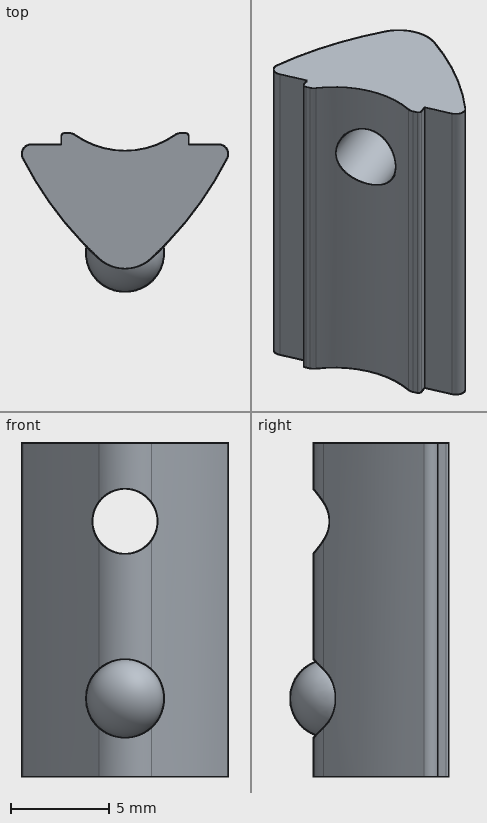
import cadquery as cq
import math

length = 17.0
ridge_height = 0.58
ridge_half_width = 3.25
ridge_corner_radius = 0.17
channel_bottom_y = -0.32
channel_radius = 4.42
channel_lip_radius = 0.51

tip_radius = 0.5
tip_center_x = 4.76
tip_end_angle = math.radians(-27)
nose_y = -6.32
nose_radius = 1.99
nose_half_width = 1.33

hole_diameter = 3.3
hole_z = 13.0
ball_diameter = 4.0
ball_z = 4.0
ball_front_y = -7.51
ball_radius = ball_diameter / 2
ball_center_y = ball_front_y + ball_radius


def point_on_circle(center, radius, angle):
    return (center[0] + radius * math.cos(angle), center[1] + radius * math.sin(angle))


def mirrored(point):
    return (-point[0], point[1])


def make_profile():
    """Closed, symmetric outline: curved flanks, rounded nose and tips."""
    tip_center = (tip_center_x, -tip_radius)
    tip_start = (tip_center_x, 0)
    tip_mid = point_on_circle(tip_center, tip_radius, (math.pi / 2 + tip_end_angle) / 2)
    tip_end = point_on_circle(tip_center, tip_radius, tip_end_angle)

    nose_center_y = nose_y + nose_radius
    nose_end = (nose_half_width, nose_center_y - math.sqrt(nose_radius**2 - nose_half_width**2))

    chord_x = tip_end[0] - nose_end[0]
    chord_y = tip_end[1] - nose_end[1]
    flank_turn = math.pi / 2 + tip_end_angle - math.atan2(chord_y, chord_x)
    flank_sag = math.hypot(chord_x, chord_y) / 2 * math.tan(flank_turn / 2)
    chord_angle = math.atan2(chord_y, chord_x)
    flank_mid = (
        (tip_end[0] + nose_end[0]) / 2 + flank_sag * math.sin(chord_angle),
        (tip_end[1] + nose_end[1]) / 2 - flank_sag * math.cos(chord_angle),
    )

    channel_depth = ridge_height - channel_bottom_y
    channel_half_width = math.sqrt(channel_radius**2 - (channel_radius - channel_depth) ** 2)
    channel_end = (channel_half_width, ridge_height)
    ridge_corner = (ridge_half_width, ridge_height)
    shoulder_corner = (ridge_half_width, 0)

    return (
        cq.Workplane("XY")
        .moveTo(*mirrored(channel_end))
        .threePointArc((0, channel_bottom_y), channel_end)
        .lineTo(*ridge_corner)
        .lineTo(*shoulder_corner)
        .lineTo(*tip_start)
        .threePointArc(tip_mid, tip_end)
        .threePointArc(flank_mid, nose_end)
        .threePointArc((0, nose_y), mirrored(nose_end))
        .threePointArc(mirrored(flank_mid), mirrored(tip_end))
        .threePointArc(mirrored(tip_mid), mirrored(tip_start))
        .lineTo(*mirrored(shoulder_corner))
        .lineTo(*mirrored(ridge_corner))
        .close()
    ), channel_half_width


def edges_along_length(x, y):
    """Selector for the two mirrored edges parallel to Z at +x and -x."""
    margin = 0.02
    right = cq.selectors.BoxSelector((x - margin, y - margin, 0), (x + margin, y + margin, length))
    left = cq.selectors.BoxSelector((-x - margin, y - margin, 0), (-x + margin, y + margin, length))
    return right + left


def make_ball():
    return cq.Workplane("XY").sphere(ball_radius).translate((0, ball_center_y, ball_z))


def make_ball_seat():
    """Cutter for a front-opening bore that ends in a hemispherical cup."""
    bore = (
        cq.Workplane("XZ", origin=(0, ball_center_y, ball_z))
        .circle(ball_radius)
        .extrude(ball_radius)
    )
    return bore.union(make_ball())


def make_body():
    profile, channel_half_width = make_profile()
    body = profile.extrude(length)
    body = body.edges(edges_along_length(ridge_half_width, ridge_height)).fillet(ridge_corner_radius)
    body = body.edges(edges_along_length(channel_half_width, ridge_height)).fillet(channel_lip_radius)

    cross_hole = (
        cq.Workplane("XZ", origin=(0, 0, hole_z))
        .circle(hole_diameter / 2)
        .extrude(length, both=True)
    )
    return body.cut(cross_hole).cut(make_ball_seat())


body = make_body()
ball = make_ball()
result = cq.Compound.makeCompound([body.val(), ball.val()])